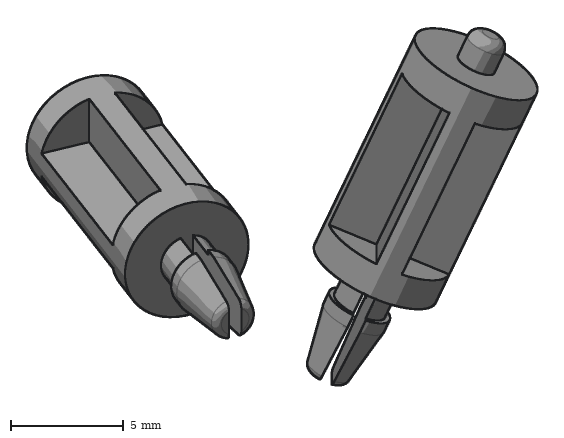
import cadquery as cq

total_length = 18.01
pin_length = 1.57
body_length = 11.02
flange_thickness = 1.53
neck_length = 1.7
barb_land_length = 0.63

body_diameter = 6.0
rib_thickness = 1.25
pin_diameter = 1.8
pin_rounding = 0.5
neck_diameter = 2.5
barb_diameter = 2.99
tip_diameter = 1.95
tip_rounding = 0.36
slot_width = 0.6

body_end = pin_length + body_length
barb_start = body_end + neck_length
taper_start = barb_start + barb_land_length
taper_length = total_length - taper_start
pocket_length = body_length - 2 * flange_thickness


def rod(start, length, diameter):
    """Solid cylinder along +X."""
    return cq.Workplane("YZ", origin=(start, 0, 0)).circle(diameter / 2).extrude(length)


def spacer_body():
    """Cylinder with four corner pockets that leave a cross-shaped web between flanges."""
    body = rod(pin_length, body_length, body_diameter)
    pocket_size = body_diameter / 2
    pocket_center = rib_thickness / 2 + pocket_size / 2
    pockets = (
        cq.Workplane("YZ", origin=(pin_length + flange_thickness, 0, 0))
        .rect(2 * pocket_center, 2 * pocket_center, forConstruction=True)
        .vertices()
        .rect(pocket_size, pocket_size)
        .extrude(pocket_length)
    )
    return body.cut(pockets)


def locating_pin():
    """Short round pin with a rounded end."""
    return rod(0, pin_length, pin_diameter).faces("<X").edges().fillet(pin_rounding)


def split_snap():
    """Neck and tapered barb, split lengthwise into two prongs."""
    neck = rod(body_end, neck_length, neck_diameter)
    land = rod(barb_start, barb_land_length, barb_diameter)
    taper = (
        cq.Workplane("YZ", origin=(taper_start, 0, 0))
        .circle(barb_diameter / 2)
        .workplane(offset=taper_length)
        .circle(tip_diameter / 2)
        .loft()
        .faces(">X").edges().fillet(tip_rounding)
    )
    slot_length = total_length - body_end
    slot = cq.Workplane("XY").box(slot_length, slot_width, barb_diameter)
    slot = slot.translate((body_end + slot_length / 2, 0, 0))
    return neck.union(land).union(taper).cut(slot)


result = spacer_body().union(locating_pin()).union(split_snap())